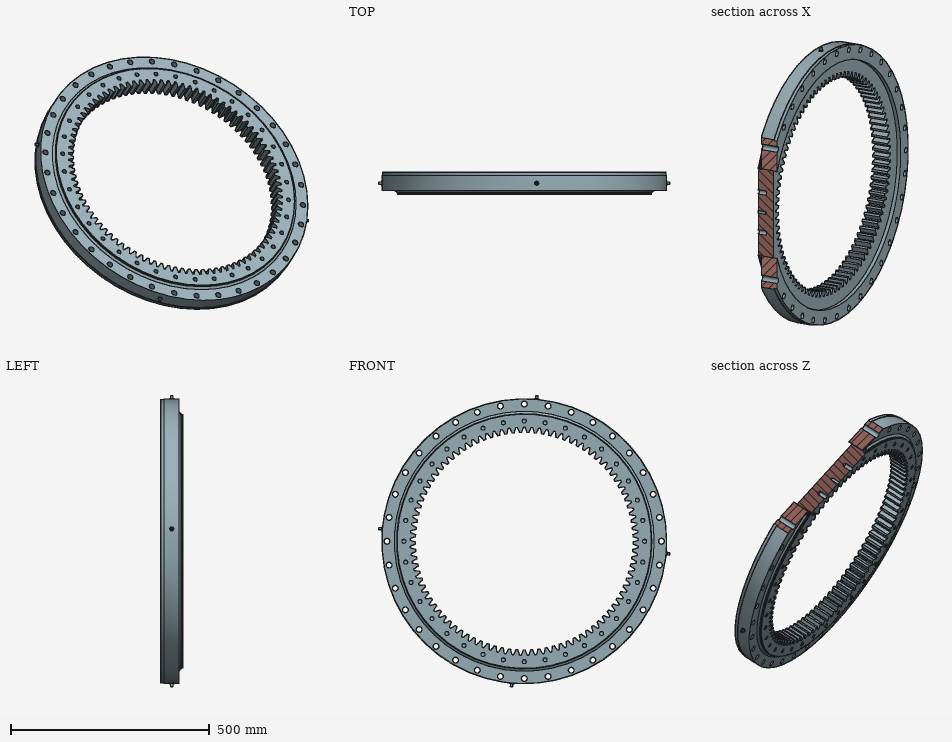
import cadquery as cq
import math


TOTAL_DEPTH = 56.0
OUTER_RING_DEPTH = 46.0
OUTER_RING_FRONT = TOTAL_DEPTH - OUTER_RING_DEPTH

OUTER_RADIUS = 358.0
REAR_STEP_DROP = 1.5
REAR_STEP_DEPTH = 9.0
JOINT_RADIUS = 319.5
MOUNT_CIRCLE_RADIUS = 345.0
MOUNT_HOLE_DIAMETER = 14.0
HOLE_COUNT = 36

GEAR_DEPTH = 45.5
TAPPED_CIRCLE_RADIUS = 303.0
TAPPED_HOLE_DIAMETER = 10.0
TAPPED_HOLE_DEPTH = 22.0
DRILL_POINT_ANGLE = 118

TOOTH_COUNT = 93
GEAR_MODULE = 6.0
GAP_SHARE = 0.48
PRESSURE_ANGLE = math.radians(20)
PITCH_RADIUS = GEAR_MODULE * TOOTH_COUNT / 2
BASE_RADIUS = PITCH_RADIUS * math.cos(PRESSURE_ANGLE)
TIP_RADIUS = 273.0
ROOT_RADIUS = 286.5

SEAL_THICKNESS = 4.5
SEAL_BASE_RADIUS = 327.0
SEAL_FRONT_RADIUS = 321.0
SEAL_LIP_RADIUS = 320.0
SEAL_LIP_HEIGHT = 2.0

NIPPLE_COUNT = 4
NIPPLE_ANGLE = 360 / HOLE_COUNT / 2
NIPPLE_Y = TOTAL_DEPTH / 2
NIPPLE_TIP_RADIUS = 368.0
NIPPLE_COLLAR_RADIUS = 360.0
NIPPLE_COLLAR_DIAMETER = 10.0
NIPPLE_HEAD_DIAMETER = 6.5
NIPPLE_TIP_DIAMETER = 3.0
NIPPLE_TIP_TAPER = 1.5
NIPPLE_SEAT_RADIUS = 353.0


def revolve_about_y(points):
    """Turn a closed (radius, y) outline about the Y axis."""
    return cq.Workplane("XY").polyline(points).close().revolve(360, (0, 0, 0), (0, 1, 0))


def polar(radius, angle):
    """Point at a radius and an angle in radians, in the plane across the axis."""
    return (radius * math.cos(angle), radius * math.sin(angle))


def face_plane(y):
    """Plane across the axis at y, facing -Y."""
    return cq.Workplane("XZ", origin=(0, y, 0))


def make_nipple(angle):
    """Turned grease nipple, pointing outward from +Z turned by an angle about Y."""
    head = NIPPLE_HEAD_DIAMETER / 2
    collar = NIPPLE_COLLAR_DIAMETER / 2
    outline = [
        (0, NIPPLE_SEAT_RADIUS),
        (collar, NIPPLE_SEAT_RADIUS),
        (collar, NIPPLE_COLLAR_RADIUS),
        (head, NIPPLE_COLLAR_RADIUS),
        (head, NIPPLE_TIP_RADIUS - NIPPLE_TIP_TAPER),
        (NIPPLE_TIP_DIAMETER / 2, NIPPLE_TIP_RADIUS),
        (0, NIPPLE_TIP_RADIUS),
    ]
    nipple = cq.Workplane("XZ").polyline(outline).close().revolve(360, (0, 0, 0), (0, 1, 0))
    return nipple.translate((0, NIPPLE_Y, 0)).rotate((0, 0, 0), (0, 1, 0), angle)


def make_outer_ring(nipples):
    """Flanged ring with a stepped rim, through mounting holes and nipple recesses."""
    step_y = TOTAL_DEPTH - REAR_STEP_DEPTH
    rear_radius = OUTER_RADIUS - REAR_STEP_DROP
    ring = revolve_about_y([
        (JOINT_RADIUS, OUTER_RING_FRONT),
        (OUTER_RADIUS, OUTER_RING_FRONT),
        (OUTER_RADIUS, step_y),
        (rear_radius, step_y),
        (rear_radius, TOTAL_DEPTH),
        (JOINT_RADIUS, TOTAL_DEPTH),
    ])
    holes = (
        face_plane(TOTAL_DEPTH)
        .polarArray(MOUNT_CIRCLE_RADIUS, 0, 360, HOLE_COUNT)
        .circle(MOUNT_HOLE_DIAMETER / 2)
        .extrude(OUTER_RING_DEPTH)
    )
    ring = ring.cut(holes)
    for nipple in nipples:
        ring = ring.cut(nipple)
    return ring


def gap_half_angle(radius):
    """Half the angle of the involute gap between two teeth at a radius."""
    def involute(angle):
        return math.tan(angle) - angle

    local_angle = math.acos(BASE_RADIUS / radius)
    pitch_half_angle = GAP_SHARE * math.pi / TOOTH_COUNT
    return pitch_half_angle + involute(PRESSURE_ANGLE) - involute(local_angle)


def make_bore():
    """Toothed bore: one gap per tooth, joined by arcs along the tooth tips."""
    pitch = 2 * math.pi / TOOTH_COUNT
    mid_radius = (TIP_RADIUS + ROOT_RADIUS) / 2
    tip_half = gap_half_angle(TIP_RADIUS)
    mid_half = gap_half_angle(mid_radius)
    root_half = gap_half_angle(ROOT_RADIUS)
    first_gap = math.pi / 2
    bore = face_plane(GEAR_DEPTH).moveTo(*polar(TIP_RADIUS, first_gap - tip_half))
    for index in range(TOOTH_COUNT):
        gap = first_gap + index * pitch
        bore = (
            bore
            .threePointArc(polar(mid_radius, gap - mid_half), polar(ROOT_RADIUS, gap - root_half))
            .threePointArc(polar(ROOT_RADIUS, gap), polar(ROOT_RADIUS, gap + root_half))
            .threePointArc(polar(mid_radius, gap + mid_half), polar(TIP_RADIUS, gap + tip_half))
            .threePointArc(
                polar(TIP_RADIUS, gap + pitch / 2),
                polar(TIP_RADIUS, gap + pitch - tip_half),
            )
        )
    return bore.close().extrude(GEAR_DEPTH)


def make_tapped_hole():
    """Blind hole with a drill point, on the axis and opening at y = 0."""
    radius = TAPPED_HOLE_DIAMETER / 2
    point_depth = radius / math.tan(math.radians(DRILL_POINT_ANGLE / 2))
    return revolve_about_y([
        (0, 0),
        (radius, 0),
        (radius, TAPPED_HOLE_DEPTH),
        (0, TAPPED_HOLE_DEPTH + point_depth),
    ])


def make_gear_ring():
    """Inner ring with internal teeth and a circle of blind holes in its front face."""
    blank = face_plane(GEAR_DEPTH).circle(JOINT_RADIUS).extrude(GEAR_DEPTH)
    ring = blank.cut(make_bore())
    hole = make_tapped_hole().translate((TAPPED_CIRCLE_RADIUS, 0, 0))
    for index in range(HOLE_COUNT):
        ring = ring.cut(hole.rotate((0, 0, 0), (0, 1, 0), index * 360 / HOLE_COUNT))
    return ring


def make_seal():
    """Seal ring with a conical outer side and a narrow lip along its inner edge."""
    seal_front = OUTER_RING_FRONT - SEAL_THICKNESS
    lip_front = seal_front - SEAL_LIP_HEIGHT
    return revolve_about_y([
        (JOINT_RADIUS, OUTER_RING_FRONT),
        (JOINT_RADIUS, lip_front),
        (SEAL_LIP_RADIUS, lip_front),
        (SEAL_LIP_RADIUS, seal_front),
        (SEAL_FRONT_RADIUS, seal_front),
        (SEAL_BASE_RADIUS, OUTER_RING_FRONT),
    ])


nipples = [make_nipple(NIPPLE_ANGLE + index * 360 / NIPPLE_COUNT) for index in range(NIPPLE_COUNT)]
outer_ring = make_outer_ring(nipples)
gear_ring = make_gear_ring()
seal = make_seal()

result = cq.Compound.makeCompound([
    outer_ring.val(),
    gear_ring.val(),
    seal.val(),
    *[nipple.val() for nipple in nipples],
])